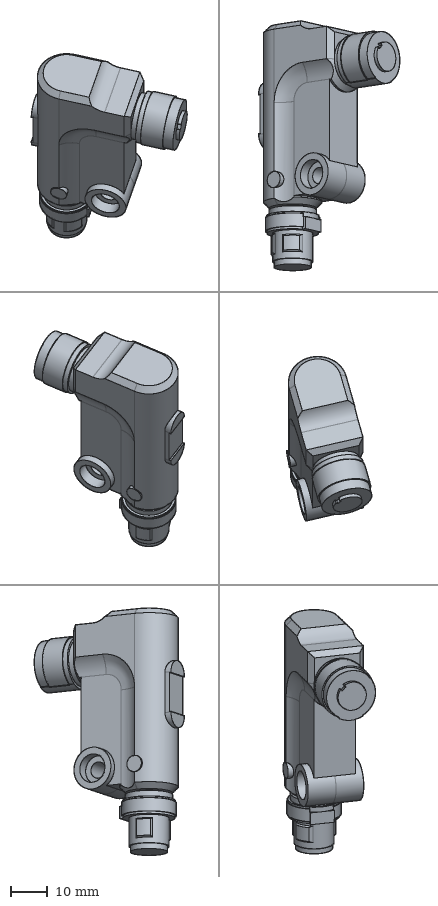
import math

import cadquery as cq


body_radius = 8.0
body_bottom = 16.4
body_top = 66.5
body_chamfer = 1.6
bend_radius = 10.0
arm_axis_height = 54.5
arm_top = arm_axis_height + 9.0
arm_end = 20.0
arm_chamfer = 1.5
bend_start = arm_axis_height - bend_radius

step_start = 8.1
step_end = 13.0

plate_half_thickness = 6.0
plate_end = 17.9
plate_bottom = 18.4
blend_width = math.sqrt(body_radius**2 - plate_half_thickness**2)
blend_drop = body_radius - plate_half_thickness
blend_radius = (blend_width**2 + blend_drop**2) / (2 * blend_drop)

eye_x = 13.2
eye_height = 23.2
eye_radius = 5.8
eye_half_length = body_radius
eye_hole_radius = 2.25
counterbore_radius = 3.93
counterbore_depth = 3.2
button_radius = 2.27
button_reach = 8.2

pad_centre_height = 43.0
pad_half_width = 3.7
pad_length = 18.6
pad_reach = 9.0
pad_recess_length = 10.8
pad_recess_reach = 8.5

tip_radius = 5.1
barrel_radius = 5.5
barrel_bottom = 1.55
collar_bottom = 9.4
collar_top = 14.2
plug_steps = [
    (tip_radius, 0.0, barrel_bottom),
    (barrel_radius, barrel_bottom, collar_bottom),
    (7.05, collar_bottom, 10.0),
    (7.45, 10.0, 13.7),
    (7.2, 13.7, collar_top),
    (6.5, collar_top, 15.85),
    (4.65, 15.85, body_bottom),
]

socket_grip_start = 21.5
socket_grip_end = 32.0
insert_radius = 4.05
insert_end = 32.99
socket_steps = [
    (6.5, arm_end, socket_grip_start),
    (7.2, socket_grip_start, 22.95),
    (7.45, 22.95, 29.2),
    (7.05, 29.2, socket_grip_end),
    (insert_radius, socket_grip_end, insert_end),
]

band_radius = 7.25
band_half_width = 3.4
marker_block_top = 12.8

key_slot_width = 1.45
key_slot_depth = 0.7
key_slot_angle = 45.0

lug_chamfer = 0.4
sill_radius = 5.6
sill_angle = 205.7
lugs = [
    (201.0, 218.0, 243.5, 246.5, 5.9, 3.2, 9.0, [(sill_radius, sill_angle)]),
    (278.5, 284.0, 328.0, 338.0, 5.9, 3.4, 8.2, []),
    (80.0, 85.0, 123.0, 129.0, 6.1, 3.1, 8.5, []),
]


def block(x_range, y_range, z_range):
    """Box between the given limits."""
    spans = [high - low for low, high in (x_range, y_range, z_range)]
    corner = (x_range[0], y_range[0], z_range[0])
    return cq.Workplane("XY").box(*spans, centered=False).translate(corner)


def disc_along_y(x, z, radius, half_length):
    """Cylinder along Y, centred on the middle plane of the part."""
    return (
        cq.Workplane("XZ")
        .center(x, z)
        .circle(radius)
        .extrude(half_length, both=True)
    )


def arm_plane(x):
    """Plane across the arm axis, with its normal along +X and its local X pointing down."""
    return cq.Plane(origin=(x, 0, arm_axis_height), xDir=(0, 0, -1), normal=(1, 0, 0))


def turned(plane, steps):
    """Stack of cylinders along the normal of a plane."""
    stack = None
    for radius, start, end in steps:
        step = cq.Workplane(plane).workplane(offset=start).circle(radius).extrude(end - start)
        stack = step if stack is None else stack.union(step)
    return stack


def back():
    """Half-round back of the body, chamfered at both ends."""
    inset_radius = body_radius - body_chamfer
    return (
        cq.Workplane("YZ")
        .polyline([
            (0, body_bottom),
            (-inset_radius, body_bottom),
            (-body_radius, body_bottom + body_chamfer),
            (-body_radius, body_top - body_chamfer),
            (-inset_radius, body_top),
            (0, body_top),
        ])
        .close()
        .revolve(180, (0, 0, 0), (0, -1, 0))
    )


def head():
    """Flat-sided head outside the bent axis of the housing, stepped down to the arm."""
    diagonal = bend_radius * math.sqrt(0.5)
    drop = body_top - arm_top
    run = step_end - step_start
    step_radius = (run**2 + drop**2) / (2 * drop)
    step_middle = arm_top + step_radius - math.sqrt(step_radius**2 - (run / 2) ** 2)
    shape = (
        cq.Workplane("XZ")
        .moveTo(0, bend_start)
        .threePointArc((bend_radius - diagonal, bend_start + diagonal), (bend_radius, arm_axis_height))
        .lineTo(arm_end, arm_axis_height)
        .lineTo(arm_end, arm_top)
        .lineTo(step_end, arm_top)
        .threePointArc((step_end - run / 2, step_middle), (step_start, body_top))
        .lineTo(0, body_top)
        .close()
        .extrude(body_radius, both=True)
    )
    shape = shape.faces(">X").edges("|Y and >Z or |Z").chamfer(arm_chamfer)
    bevel = (
        cq.Workplane("YZ")
        .moveTo(body_radius, body_top)
        .lineTo(body_radius - body_chamfer, body_top)
        .lineTo(body_radius, body_top - body_chamfer)
        .close()
        .extrude(step_end)
    )
    return shape.cut(bevel).cut(bevel.mirror("XZ"))


def inner_section(plane):
    """Half section inside the bent axis: hollow flanks, then round. Local X points inward."""
    half = blend_width / 2
    flank = plate_half_thickness + blend_radius - math.sqrt(blend_radius**2 - half**2)
    return (
        cq.Workplane(plane)
        .moveTo(0, body_radius)
        .threePointArc((half, flank), (blend_width, plate_half_thickness))
        .threePointArc((body_radius, 0), (blend_width, -plate_half_thickness))
        .threePointArc((half, -flank), (0, -body_radius))
        .close()
    )


def inner_side():
    """Inner half of the elbow: down the body, round the bend and along the arm."""
    body_length = bend_start - body_bottom
    body_envelope = (
        cq.Workplane("XY", origin=(0, 0, body_bottom))
        .circle(body_radius)
        .extrude(body_length)
        .faces("<Z")
        .chamfer(body_chamfer)
    )
    arm_length = arm_end - bend_radius
    arm_envelope = (
        cq.Workplane(arm_plane(bend_radius))
        .circle(body_radius)
        .extrude(arm_length)
        .faces(">X")
        .chamfer(arm_chamfer)
    )
    along_body = inner_section(cq.Plane.XY((0, 0, body_bottom))).extrude(body_length)
    along_arm = inner_section(arm_plane(bend_radius)).extrude(arm_length)
    bend = inner_section(cq.Plane.XY((0, 0, bend_start))).revolve(
        90, (bend_radius, 0, 0), (bend_radius, 1, 0)
    )
    return along_body.intersect(body_envelope).union(bend).union(along_arm.intersect(arm_envelope))


def plate():
    """Web plate inside the elbow; its lower outer corner ends within the mounting eye."""
    return (
        cq.Workplane("XZ")
        .moveTo(0, arm_axis_height)
        .lineTo(0, plate_bottom)
        .lineTo(eye_x, plate_bottom)
        .lineTo(eye_x, eye_height)
        .lineTo(plate_end, eye_height)
        .lineTo(plate_end, arm_axis_height)
        .close()
        .extrude(plate_half_thickness, both=True)
    )


def pad():
    """Rounded pad with a shallow flat across its middle."""
    raised = (
        cq.Workplane("YZ", origin=(0, 0, pad_centre_height))
        .slot2D(pad_length, 2 * pad_half_width, 90)
        .extrude(-pad_reach)
    )
    half_recess = pad_recess_length / 2
    recess = block(
        (-pad_reach, -pad_recess_reach),
        (-pad_half_width, pad_half_width),
        (pad_centre_height - half_recess, pad_centre_height + half_recess),
    )
    return raised.cut(recess)


def eye_opening():
    """Through hole with a counterbore from each side."""
    opening = disc_along_y(eye_x, eye_height, eye_hole_radius, eye_half_length)
    counterbores = disc_along_y(eye_x, eye_height, counterbore_radius, eye_half_length)
    floor = eye_half_length - counterbore_depth
    middle = disc_along_y(eye_x, eye_height, counterbore_radius, floor)
    return opening.union(counterbores.cut(middle))


def housing():
    """Elbow body with its plate, pad, mounting eye and buttons."""
    shape = back().union(head()).union(inner_side())
    eye = disc_along_y(eye_x, eye_height, eye_radius, eye_half_length)
    buttons = disc_along_y(0, eye_height, button_radius, button_reach)
    shape = shape.union(plate()).union(pad()).union(eye).union(buttons)
    return shape.cut(eye_opening())


def with_band(shape, plane, start, end):
    """Give a turned grip one even radius on a strip facing the local +X side of a plane."""
    length = end - start
    base = cq.Workplane(plane).workplane(offset=start)
    strip = base.center(band_radius, 0).rect(band_radius, 2 * band_half_width).extrude(length)
    core = base.circle(band_radius).extrude(length)
    return shape.cut(strip.cut(core)).union(strip.intersect(core))


def on_circle(radius, angle):
    """Point at an angle in degrees on a circle round the origin."""
    return (radius * math.cos(math.radians(angle)), radius * math.sin(math.radians(angle)))


def lug(base_start, face_start, face_end, base_end, face_radius, bottom, top, sill):
    """Raised lug on the plug barrel, with sloping flanks all round."""
    first_flank = [
        (0, 0),
        on_circle(barrel_radius, base_start),
        *(on_circle(radius, angle) for radius, angle in sill),
        on_circle(face_radius, face_start),
    ]
    sector = (
        cq.Workplane("XY", origin=(0, 0, bottom))
        .polyline(first_flank)
        .threePointArc(
            on_circle(face_radius, (face_start + face_end) / 2),
            on_circle(face_radius, face_end),
        )
        .lineTo(*on_circle(barrel_radius, base_end))
        .close()
        .extrude(top - bottom)
    )
    ring = (
        cq.Workplane("XZ")
        .polyline([
            (0, bottom),
            (barrel_radius, bottom),
            (face_radius, bottom + lug_chamfer),
            (face_radius, top - lug_chamfer),
            (barrel_radius, top),
            (0, top),
        ])
        .close()
        .revolve(360, (0, 0, 0), (0, 1, 0))
    )
    return sector.intersect(ring)


def plug():
    """Lower plug with its grip collar and locking lugs."""
    plane = cq.Plane.XY()
    shape = with_band(turned(plane, plug_steps), plane, collar_bottom, collar_top)
    marker_block = block(
        (0, band_radius),
        (-band_half_width, band_half_width),
        (collar_bottom, marker_block_top),
    )
    shape = shape.union(marker_block)
    for dimensions in lugs:
        shape = shape.union(lug(*dimensions))
    return shape


def socket():
    """Side connector with its grip sleeve and keyed insert."""
    plane = arm_plane(0)
    shape = with_band(turned(plane, socket_steps), plane, socket_grip_start, socket_grip_end)
    key_slot = (
        cq.Workplane(plane)
        .workplane(offset=socket_grip_end)
        .transformed(rotate=(0, 0, key_slot_angle))
        .center(-insert_radius, 0)
        .rect(2 * key_slot_depth, key_slot_width)
        .extrude(insert_end - socket_grip_end)
    )
    return shape.cut(key_slot)


result = housing().union(plug()).union(socket())